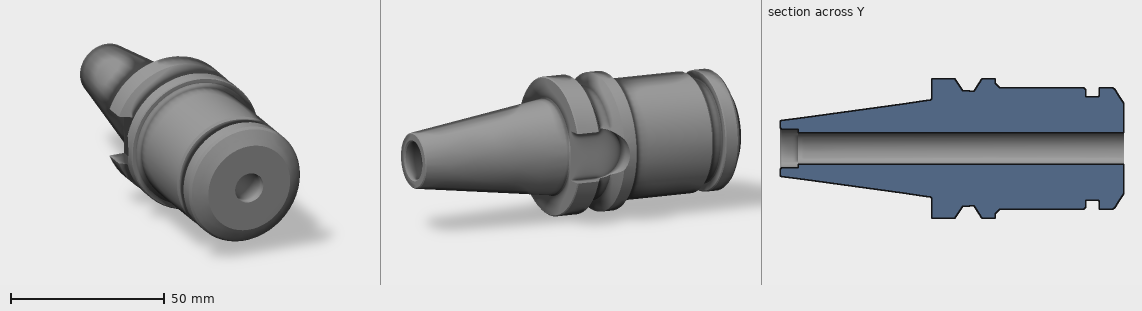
import cadquery as cq

LENGTH = 112.4
EDGE = 0.3
ROOT_CHAMFER = 0.3

TAPER_SMALL_R = 9.2
TAPER_LARGE_R = 31.7 / 2
TAPER_END_X = 48.3

FLANGE_R = 45.9 / 2
FLANGE_START_X = 49.5
FLANGE_END_X = 70.5
V_START_X = 57.1
V_FLOOR_START_X = 59.8
V_FLOOR_END_X = 63.4
V_END_X = 66.0
V_FLOOR_R = 18.9
FLANGE_BACK_R = 21.2

BODY_R = 40.0 / 2
BODY_START_X = 71.7
BODY_END_X = 99.9
BODY_CHAMFER = 0.7
NECK_R = 34.0 / 2
NUT_START_X = 104.2
NUT_CHAMFER = 0.3
NUT_CONE_X = 108.6
NUT_BEVEL_X = 109.5
NUT_BEVEL_R = 19.3
NOSE_R = 14.7

SLOT_WIDTH = 16.5
SLOT_FLOOR_Y = 31.9 / 2
SLOT_END_X = 67.8

BORE_R = 10.1 / 2
COUNTERBORE_R = 12.6 / 2
COUNTERBORE_DEPTH = 6.0
MOUTH_CHAMFER = 0.5


def turned_body():
    """Solid of revolution for everything outside the bore."""
    profile = [
        (0, 0),
        (0, TAPER_SMALL_R - EDGE),
        (EDGE, TAPER_SMALL_R),
        (TAPER_END_X, TAPER_LARGE_R),
        (FLANGE_START_X - ROOT_CHAMFER, TAPER_LARGE_R),
        (FLANGE_START_X, TAPER_LARGE_R + ROOT_CHAMFER),
        (FLANGE_START_X, FLANGE_R - EDGE),
        (FLANGE_START_X + EDGE, FLANGE_R),
        (V_START_X, FLANGE_R),
        (V_FLOOR_START_X, V_FLOOR_R),
        (V_FLOOR_END_X, V_FLOOR_R),
        (V_END_X, FLANGE_R),
        (FLANGE_END_X - EDGE, FLANGE_R),
        (FLANGE_END_X, FLANGE_R - EDGE),
        (FLANGE_END_X, FLANGE_BACK_R),
        (BODY_START_X, BODY_R),
        (BODY_END_X - BODY_CHAMFER, BODY_R),
        (BODY_END_X, BODY_R - BODY_CHAMFER),
        (BODY_END_X, NECK_R),
        (NUT_START_X - ROOT_CHAMFER, NECK_R),
        (NUT_START_X, NECK_R + ROOT_CHAMFER),
        (NUT_START_X, BODY_R - NUT_CHAMFER),
        (NUT_START_X + NUT_CHAMFER, BODY_R),
        (NUT_CONE_X, BODY_R),
        (NUT_BEVEL_X, NUT_BEVEL_R),
        (LENGTH, NOSE_R),
        (LENGTH, 0),
    ]
    return cq.Workplane("XY").polyline(profile).close().revolve(360, (0, 0, 0), (1, 0, 0))


def bore():
    """Through bore with a chamfered counterbore at the small end."""
    profile = [
        (0, 0),
        (0, COUNTERBORE_R + MOUTH_CHAMFER),
        (MOUTH_CHAMFER, COUNTERBORE_R),
        (COUNTERBORE_DEPTH, COUNTERBORE_R),
        (COUNTERBORE_DEPTH, BORE_R),
        (LENGTH, BORE_R),
        (LENGTH, 0),
    ]
    return cq.Workplane("XY").polyline(profile).close().revolve(360, (0, 0, 0), (1, 0, 0))


def drive_slot(side):
    """Round-ended slot cut in from side -1 (-Y) or +1 (+Y)."""
    half_width = SLOT_WIDTH / 2
    arc_center_x = SLOT_END_X - half_width
    return (
        cq.Workplane("XZ", origin=(0, side * SLOT_FLOOR_Y, 0))
        .moveTo(FLANGE_START_X, -half_width)
        .lineTo(arc_center_x, -half_width)
        .threePointArc((SLOT_END_X, 0), (arc_center_x, half_width))
        .lineTo(FLANGE_START_X, half_width)
        .close()
        .extrude(-side * FLANGE_R)
    )


result = turned_body().cut(bore())
for slot_side in (-1, 1):
    result = result.cut(drive_slot(slot_side))